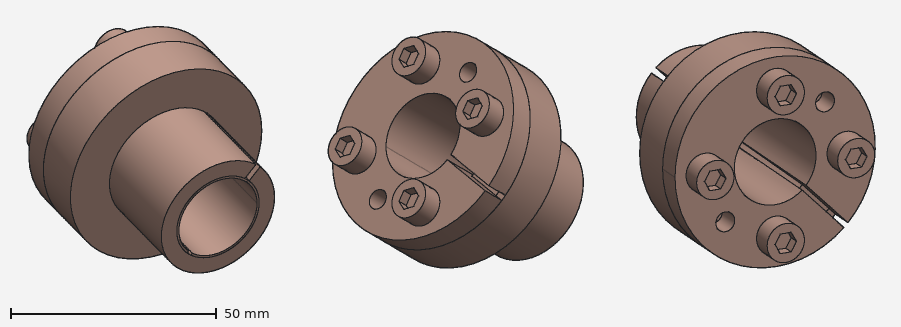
import cadquery as cq
import math


total_length = 51.0
head_height = 6.0
clamp_flange_thickness = 7.0
collar_length = 13.0
sleeve_end = total_length - head_height - clamp_flange_thickness
seat_depth = 6.5

outer_radius = 27.0
bore_radius = 11.0
sleeve_radius = 16.0
sleeve_flange_radius = 24.5
taper_wide_radius = 14.35
taper_narrow_radius = 11.6

inner_slit_width = 1.5
outer_slit_width = 1.7
inner_slit_angle = 225
outer_slit_angle = inner_slit_angle - 180

pitch_radius = 19.0
screw_count = 4
head_radius = 5.0
shank_radius = 3.0
shank_length = 18.0
shank_end = shank_length - clamp_flange_thickness
socket_sides = 6
socket_across_flats = 5.0
socket_depth = 3.0
jacking_hole_radius = 2.55
jacking_hole_angles = [135, 315]

screw_angles = [360 / screw_count * i for i in range(screw_count)]


def cylinder(start, end, radius):
    """Cylinder on the main axis."""
    return cq.Workplane("YZ", origin=(start, 0, 0)).circle(radius).extrude(end - start)


def pitch_plane(x, angle):
    """Workplane facing +X, centred on the pitch circle at an angle from +Y towards +Z."""
    y = pitch_radius * math.cos(math.radians(angle))
    z = pitch_radius * math.sin(math.radians(angle))
    return cq.Workplane("YZ", origin=(x, y, z))


def pitch_cylinder(start, end, radius, angle):
    """Cylinder parallel to X at an angle on the pitch circle."""
    return pitch_plane(start, angle).circle(radius).extrude(end - start)


def taper_cone():
    """Solid cone of the fit between the inner ring and the outer sleeve."""
    profile = [
        (0, 0),
        (0, taper_wide_radius),
        (sleeve_end, taper_narrow_radius),
        (sleeve_end, 0),
    ]
    return cq.Workplane("XY").polyline(profile).close().revolve(360, (0, 0, 0), (1, 0, 0))


def slit(width, angle):
    """Radial slot cutter from the axis outwards, running the full length."""
    return (
        cq.Workplane("XY")
        .box(2 * total_length, outer_radius + width, width, centered=(True, False, True))
        .rotate((0, 0, 0), (1, 0, 0), angle)
    )


def cut_screw_holes(body):
    """Cut the holes that the screw shanks fill."""
    for angle in screw_angles:
        body = body.cut(pitch_cylinder(-clamp_flange_thickness, shank_end, shank_radius, angle))
    return body


def make_inner_ring():
    """Clamping flange with a tapered, slit sleeve around the shaft bore."""
    ring = cylinder(-clamp_flange_thickness, 0, outer_radius).union(taper_cone())
    ring = ring.cut(cylinder(-clamp_flange_thickness, sleeve_end, bore_radius))
    ring = ring.cut(slit(inner_slit_width, inner_slit_angle))
    for angle in jacking_hole_angles:
        ring = ring.cut(pitch_cylinder(-clamp_flange_thickness, 0, jacking_hole_radius, angle))
    return cut_screw_holes(ring)


def make_outer_sleeve():
    """Slit sleeve with a tapered bore and a flange seated in the collar."""
    sleeve = cylinder(0, sleeve_end, sleeve_radius)
    sleeve = sleeve.union(cylinder(0, seat_depth, sleeve_flange_radius))
    sleeve = sleeve.cut(taper_cone())
    sleeve = sleeve.cut(slit(outer_slit_width, outer_slit_angle))
    return cut_screw_holes(sleeve)


def make_collar():
    """Unbroken ring that the screws pull towards the clamping flange."""
    collar = cylinder(0, collar_length, outer_radius)
    collar = collar.cut(cylinder(0, collar_length, sleeve_radius))
    collar = collar.cut(cylinder(0, seat_depth, sleeve_flange_radius))
    return cut_screw_holes(collar)


def make_screw(angle):
    """Socket head screw with its head on the front of the clamping flange."""
    head_bottom = -clamp_flange_thickness
    head_top = head_bottom - head_height
    screw = pitch_cylinder(head_top, head_bottom, head_radius, angle)
    screw = screw.union(pitch_cylinder(head_bottom, shank_end, shank_radius, angle))
    socket_across_corners = socket_across_flats / math.cos(math.pi / socket_sides)
    socket = pitch_plane(head_top, angle).polygon(socket_sides, socket_across_corners).extrude(socket_depth)
    return screw.cut(socket)


inner_ring = make_inner_ring()
outer_sleeve = make_outer_sleeve()
collar = make_collar()
screws = [make_screw(angle) for angle in screw_angles]

result = cq.Compound.makeCompound(
    [inner_ring.val(), outer_sleeve.val(), collar.val(), *[screw.val() for screw in screws]]
)